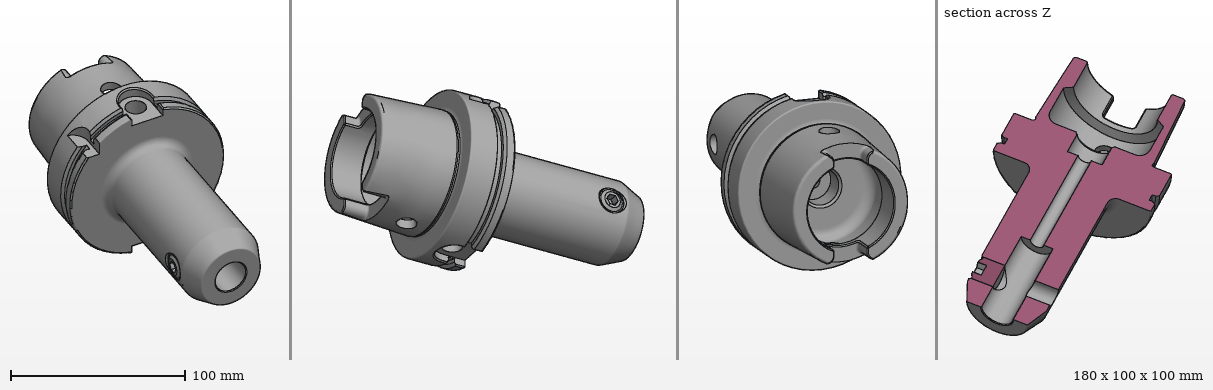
import cadquery as cq
import math

overall_length = 180.0
taper_end = 47.3
relief_start = 48.5
relief_end = 49.5
flange_front = 50.0
flange_back = 78.8
nose_start = 166.7
shank_hole_x = 35.0
keyway_center_x = 64.8
screw_x = 156.0

taper_end_radius = 37.6
taper_slope = 0.05
taper_start_radius = taper_end_radius - taper_slope * taper_end
shank_rim_fillet = 1.8
relief_radius = 37.3
relief_root_radius = 39.6
relief_root_depth = 0.22
relief_root_arc_radius = 38.2
shank_hole_radius = 6.0

flange_radius = 50.0
flange_edge_fillet = 0.9
groove_radius = 45.9
groove_chamfer_root_radius = 48.0
groove_mouth_start = 67.0
groove_start = 68.0
groove_end = 71.8
groove_mouth_end = 73.3

neck_radius = 25.0
neck_fillet = 5.0
nose_radius = 19.3
nose_start_fillet = 1.5
nose_rim_fillet = 0.9

cavity_mouth_radius = 26.5
cavity_edge_chamfer = 0.7
clamp_cone_start = 19.6
clamp_cone_half_angle = 60
cavity_radius = 31.5
cavity_floor_fillet = 6.5
cavity_depth = 46.8
tube_thread_radius = 10.8
tube_thread_chamfer = 1.5
tube_thread_depth = 14.4
coolant_radius = 4.1

tool_bore_radius = 9.9
tool_bore_chamfer = 0.5
tool_bore_depth = 54.0

drive_slot_half_width = 10.0
drive_slot_corner_radius = 4.3
drive_slot_shoulder_z = 32.2
drive_slot_floor_fillet = 1.6
upper_drive_slot_depth = 9.9
lower_drive_slot_depth = 15.5

keyway_half_width = 10.0
keyway_floor_z = 44.0
keyway_chamfer = 0.9
keyway_hole_radius = 6.1
keyway_hole_depth = 10.8
notch_offset = 31.1
notch_end_radius = 9.9

screw_radius = 8.0
screw_tip_root_radius = 7.0
screw_tip_radius = 5.0
screw_tip_length = 1.3
screw_hole_rim_radius = 9.0
socket_across_corners = 7.2
socket_depth = 5.4
opposite_hole_radius = 5.8

cut_margin = 9.0
countersink_overrun = 0.9
tolerance = 0.002


def revolved(points):
    """Revolve a closed (x, radius) outline about the X axis."""
    return cq.Workplane("XY").polyline(points).close().revolve(360, (0, 0, 0), (1, 0, 0))


def taper_shank():
    """Outside of the shank, with a relief that curves into the flange face."""
    return (
        cq.Workplane("XY")
        .lineTo(0, taper_start_radius)
        .lineTo(taper_end, taper_end_radius)
        .lineTo(relief_start, relief_radius)
        .lineTo(relief_end, relief_radius)
        .threePointArc(
            (flange_front - relief_root_depth, relief_root_arc_radius),
            (flange_front, relief_root_radius),
        )
        .lineTo(flange_front, 0)
        .close()
        .revolve(360, (0, 0, 0), (1, 0, 0))
        .faces("<X")
        .edges()
        .fillet(shank_rim_fillet)
    )


def flange_disk():
    """Plain flange disk with the two keyways cut and their outer edges chamfered."""
    disk = (
        cq.Workplane("YZ")
        .workplane(offset=flange_front)
        .circle(flange_radius)
        .extrude(flange_back - flange_front)
    )
    for side in (1, -1):
        disk = disk.cut(keyway(side))
    lowest_rim_z = math.sqrt(flange_radius**2 - keyway_half_width**2) - keyway_chamfer
    above_floors = cq.selectors.BoxSelector(
        (flange_front + keyway_chamfer, -flange_radius / 2, lowest_rim_z),
        (flange_back - keyway_chamfer, flange_radius / 2, flange_radius),
    )
    below_floors = cq.selectors.BoxSelector(
        (flange_front + keyway_chamfer, -flange_radius / 2, -lowest_rim_z),
        (flange_back - keyway_chamfer, flange_radius / 2, -flange_radius),
    )
    return disk.edges(above_floors + below_floors).chamfer(keyway_chamfer)


def grooved_flange():
    """Round flange outline with rounded edges and the V-mouthed gripper groove."""
    outline = revolved([
        (flange_front, 0),
        (flange_front, flange_radius),
        (groove_mouth_start, flange_radius),
        (groove_start, groove_chamfer_root_radius),
        (groove_start, groove_radius),
        (groove_end, groove_radius),
        (groove_end, groove_chamfer_root_radius),
        (groove_mouth_end, flange_radius),
        (flange_back, flange_radius),
        (flange_back, 0),
    ])
    return outline.faces("<X or >X").edges().fillet(flange_edge_fillet)


def flange():
    return flange_disk().intersect(grooved_flange()).cut(orientation_notch())


def neck():
    fillet_end = flange_back + neck_fillet
    arc_offset = neck_fillet * (1 - math.sqrt(0.5))
    return (
        cq.Workplane("XY")
        .moveTo(flange_front, 0)
        .lineTo(flange_front, neck_radius + neck_fillet)
        .lineTo(flange_back, neck_radius + neck_fillet)
        .threePointArc(
            (flange_back + arc_offset, neck_radius + arc_offset),
            (fillet_end, neck_radius),
        )
        .lineTo(nose_start, neck_radius)
        .lineTo(overall_length, nose_radius)
        .lineTo(overall_length, 0)
        .close()
        .revolve(360, (0, 0, 0), (1, 0, 0))
        .faces(">X")
        .edges()
        .fillet(nose_rim_fillet)
        .edges(cq.selectors.NearestToPointSelector((nose_start, 0, 0)))
        .fillet(nose_start_fillet)
    )


def keyway(side):
    """Round-ended keyway open to the back of the flange."""
    floor = cq.Workplane("XY").workplane(offset=side * keyway_floor_z)
    height = side * (flange_radius - keyway_floor_z + cut_margin)
    run = flange_back + cut_margin - keyway_center_x
    straight = (
        floor.center(keyway_center_x + run / 2, 0)
        .rect(run, 2 * keyway_half_width)
        .extrude(height)
    )
    return floor.center(keyway_center_x, 0).circle(keyway_half_width).extrude(height).union(straight)


def keyway_hole(side):
    """Blind hole in the floor of a keyway."""
    return (
        cq.Workplane("XY")
        .workplane(offset=side * keyway_floor_z)
        .center(keyway_center_x, 0)
        .circle(keyway_hole_radius)
        .extrude(-side * keyway_hole_depth)
    )


def orientation_notch():
    """Corner notch at the upper -Y side, rounded where its cutter stops."""
    run = flange_back + cut_margin - keyway_center_x + notch_end_radius
    return (
        cq.Workplane("XY")
        .workplane(offset=notch_offset)
        .center(keyway_center_x - notch_end_radius + run / 2, -notch_offset - flange_radius / 2)
        .rect(run, flange_radius)
        .extrude(flange_radius)
        .edges("|Z and <X and >Y")
        .fillet(notch_end_radius)
    )


def drive_slot(side, depth):
    """Slot through the shank rim whose walls round outward onto flat shoulders."""
    arc_center_y = drive_slot_half_width + drive_slot_corner_radius
    arc_center_z = drive_slot_shoulder_z - drive_slot_corner_radius
    arc_reach = drive_slot_corner_radius * math.sqrt(0.5)
    outer_reach = relief_root_radius + cut_margin
    return (
        cq.Workplane("YZ")
        .moveTo(-drive_slot_half_width, 0)
        .lineTo(-drive_slot_half_width, side * arc_center_z)
        .threePointArc(
            (-arc_center_y + arc_reach, side * (arc_center_z + arc_reach)),
            (-arc_center_y, side * drive_slot_shoulder_z),
        )
        .lineTo(-outer_reach, side * drive_slot_shoulder_z)
        .lineTo(-outer_reach, side * outer_reach)
        .lineTo(outer_reach, side * outer_reach)
        .lineTo(outer_reach, side * drive_slot_shoulder_z)
        .lineTo(arc_center_y, side * drive_slot_shoulder_z)
        .threePointArc(
            (arc_center_y - arc_reach, side * (arc_center_z + arc_reach)),
            (drive_slot_half_width, side * arc_center_z),
        )
        .lineTo(drive_slot_half_width, 0)
        .close()
        .extrude(depth)
        .faces(">X")
        .edges()
        .fillet(drive_slot_floor_fillet)
    )


def clamping_cavity():
    """Bore that opens behind a clamping cone into a wider chamber with a rounded floor."""
    cone_length = (cavity_radius - cavity_mouth_radius) / math.tan(math.radians(clamp_cone_half_angle))
    return (
        revolved([
            (0, 0),
            (0, cavity_mouth_radius),
            (clamp_cone_start, cavity_mouth_radius),
            (clamp_cone_start + cone_length, cavity_radius),
            (cavity_depth, cavity_radius),
            (cavity_depth, 0),
        ])
        .faces(">X")
        .edges()
        .fillet(cavity_floor_fillet)
    )


def coolant_passage():
    thread_end = cavity_depth + tube_thread_depth
    bore_start = overall_length - tool_bore_depth
    return revolved([
        (cavity_depth, 0),
        (cavity_depth, tube_thread_radius + tube_thread_chamfer),
        (cavity_depth + tube_thread_chamfer, tube_thread_radius),
        (thread_end, tube_thread_radius),
        (thread_end, coolant_radius),
        (bore_start, coolant_radius),
        (bore_start, 0),
    ])


def tool_bore():
    bore_start = overall_length - tool_bore_depth
    return revolved([
        (bore_start, 0),
        (bore_start, tool_bore_radius),
        (overall_length - tool_bore_chamfer, tool_bore_radius),
        (overall_length, tool_bore_radius + tool_bore_chamfer),
        (overall_length, 0),
    ])


def shank_cross_hole():
    return (
        cq.Workplane("XY")
        .center(shank_hole_x, 0)
        .circle(shank_hole_radius)
        .extrude(taper_end_radius + cut_margin, both=True)
    )


def revolved_at_screw(points):
    """Revolve a closed (radius, y) outline about the screw axis, which is parallel to Y."""
    return (
        cq.Workplane("XY")
        .center(screw_x, 0)
        .polyline(points)
        .close()
        .revolve(360, (0, 0, 0), (0, 1, 0))
    )


def screw_hole():
    rim_y = -neck_radius
    rim_root_y = rim_y + screw_hole_rim_radius - screw_radius
    rim_top_y = rim_y - countersink_overrun
    rim_top_radius = screw_hole_rim_radius + countersink_overrun
    threaded = revolved_at_screw([
        (0, 0),
        (screw_radius, 0),
        (screw_radius, rim_root_y),
        (rim_top_radius, rim_top_y),
        (0, rim_top_y),
    ])
    opposite = revolved_at_screw([
        (0, 0),
        (opposite_hole_radius, 0),
        (opposite_hole_radius, neck_radius + cut_margin),
        (0, neck_radius + cut_margin),
    ])
    return threaded.union(opposite)


def is_mouth_edge(edge):
    """True for edges on the cavity mouth wall, and for end face edges inside the outer circle."""
    ends = [vertex.toTuple() for vertex in edge.Vertices()]
    on_mouth_wall = all(
        math.isclose(math.hypot(y, z), cavity_mouth_radius, abs_tol=tolerance)
        and x < lower_drive_slot_depth + tolerance
        for x, y, z in ends
    )
    on_end_face = all(abs(x) < tolerance for x, y, z in ends)
    is_rim = edge.geomType() == "CIRCLE" and edge.radius() > cavity_mouth_radius + tolerance
    return on_mouth_wall or (on_end_face and not is_rim)


def hollow_shank():
    """Shank with its cavity and drive slots, chamfered along the cavity and slot edges."""
    blank = cq.Workplane("YZ").circle(relief_root_radius + cut_margin / 2).extrude(flange_front)
    blank = blank.cut(clamping_cavity())
    blank = blank.cut(drive_slot(1, upper_drive_slot_depth))
    blank = blank.cut(drive_slot(-1, lower_drive_slot_depth))
    blank = blank.edges().filter(is_mouth_edge).chamfer(cavity_edge_chamfer)
    return blank.intersect(taper_shank())


def make_holder():
    body = hollow_shank().union(flange()).union(neck())
    body = body.cut(coolant_passage()).cut(tool_bore())
    for side in (1, -1):
        body = body.cut(keyway_hole(side))
    return body.cut(shank_cross_hole()).cut(screw_hole())


def make_set_screw():
    tip_y = -neck_radius
    tip_root_y = tip_y + screw_tip_length
    body = revolved_at_screw([
        (0, -tool_bore_radius),
        (screw_radius, -tool_bore_radius),
        (screw_radius, tip_root_y),
        (screw_tip_root_radius, tip_root_y),
        (screw_tip_radius, tip_y),
        (0, tip_y),
    ])
    socket = (
        cq.Workplane("XZ", origin=(screw_x, tip_y, 0))
        .polygon(6, socket_across_corners)
        .extrude(-socket_depth)
    )
    return body.cut(socket)


holder = make_holder()
set_screw = make_set_screw()
result = cq.Compound.makeCompound([holder.solids().val(), set_screw.solids().val()])